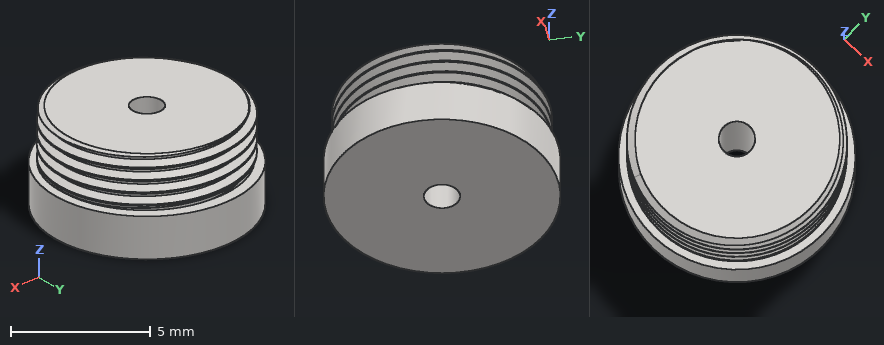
import cadquery as cq
import math

head_diameter = 8.5
overall_height = 4.0
head_height = 1.75
bore_diameter = 1.3

pitch = 0.5
crest_radius = 3.95
thread_depth = 0.3
flank_angle = math.radians(30)
root_radius = crest_radius - thread_depth
crest_width = pitch / 8
start_angle = 180
first_crest_height = 1.725
turns_below = 1
root_overlap = 0.025

run_out_angle = 270
run_out_sections = 19
run_out_crest_gap = 0.004

lead_in_radius = 3.69


def cylinder(radius, height):
    return cq.Workplane("XY").circle(radius).extrude(height)


def thread_ridge():
    """Trapezoidal ridge running from inside the head to past the free end."""
    start_height = first_crest_height - turns_below * pitch
    turns = math.ceil((overall_height - start_height) / pitch) + 1
    helix = cq.Wire.makeHelix(pitch, turns * pitch, root_radius)
    half_crest = crest_width / 2
    inner_radius = root_radius - root_overlap
    half_base = half_crest + (crest_radius - inner_radius) * math.tan(flank_angle)
    profile = cq.Workplane("XZ").polyline([
        (inner_radius, -half_base),
        (crest_radius, -half_crest),
        (crest_radius, half_crest),
        (inner_radius, half_base),
    ]).close()
    ridge = profile.sweep(cq.Workplane(helix), isFrenet=True)
    return ridge.rotate((0, 0, 0), (0, 0, 1), start_angle).translate((0, 0, start_height))


def run_out_section(fraction):
    """Filling under the lowest crest, from full (0) to sunk into the core (1)."""
    lift = thread_depth - fraction * (thread_depth + root_overlap / 2)
    angle_to_go = (1 - fraction) * run_out_angle
    crest_height = first_crest_height + pitch * (1 - angle_to_go / 360)
    floor_radius = root_radius + lift - run_out_crest_gap
    outer_radius = crest_radius - run_out_crest_gap
    inner_radius = root_radius - 2 * root_overlap
    flank_top = crest_height - crest_width / 2 - lift * math.tan(flank_angle)
    flank_bottom = flank_top - (outer_radius - floor_radius + run_out_crest_gap) * math.tan(flank_angle)
    floor_bottom = crest_height - pitch
    corners = [
        (inner_radius, floor_bottom),
        (floor_radius, floor_bottom),
        (floor_radius, flank_bottom),
        (outer_radius, flank_top),
        (outer_radius, crest_height),
        (inner_radius, crest_height),
    ]
    angle = math.radians(start_angle - angle_to_go)
    points = [cq.Vector(r * math.cos(angle), r * math.sin(angle), z) for r, z in corners]
    return cq.Wire.makePolygon(points, close=True)


def run_out():
    steps = run_out_sections - 1
    sections = [run_out_section(step / steps) for step in range(run_out_sections)]
    return cq.Workplane(cq.Solid.makeLoft(sections))


def lead_in_envelope():
    """Space left for the threaded end, coned at the free end."""
    outer_radius = head_diameter / 2
    cone_drop = (outer_radius - lead_in_radius) * math.tan(flank_angle)
    return (
        cq.Workplane("XZ")
        .polyline([
            (0, 0),
            (outer_radius, 0),
            (outer_radius, overall_height - cone_drop),
            (lead_in_radius, overall_height),
            (0, overall_height),
        ])
        .close()
        .revolve(360, (0, 0), (0, 1))
    )


thread = thread_ridge().intersect(lead_in_envelope())
threaded_end = cylinder(root_radius, overall_height).union(thread)

head = cylinder(head_diameter / 2, head_height)
bore = cylinder(bore_diameter / 2, overall_height)
result = head.union(threaded_end).union(run_out()).cut(bore)